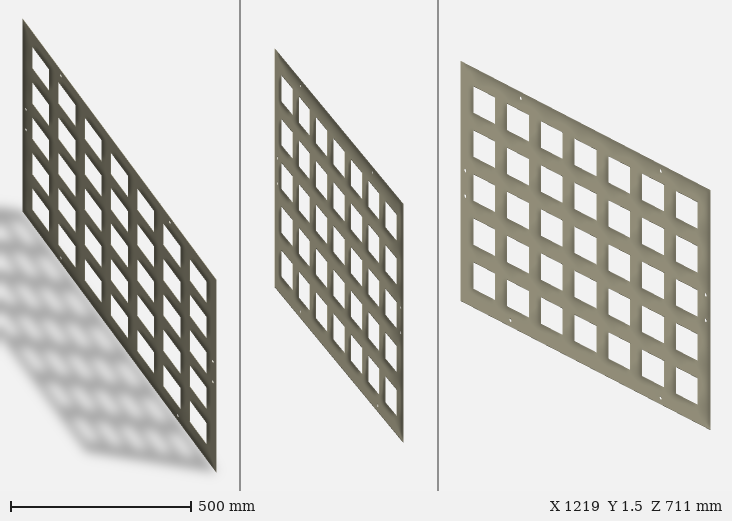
import cadquery as cq

PANEL_LENGTH = 1219.0
PANEL_HEIGHT = 711.0
PANEL_THICKNESS = 1.5

WINDOW_COLUMNS = 7
WINDOW_ROWS = 5
WINDOW_WIDTH = 109.0
WINDOW_HEIGHT = 79.0
SIDE_MARGIN = 60.0
END_MARGIN = 55.0
COLUMN_PITCH = (PANEL_LENGTH - 2 * SIDE_MARGIN - WINDOW_WIDTH) / (WINDOW_COLUMNS - 1)
ROW_PITCH = (PANEL_HEIGHT - 2 * END_MARGIN - WINDOW_HEIGHT) / (WINDOW_ROWS - 1)

HOLE_DIAMETER = 10.0
SIDE_HOLE_EDGE_DISTANCE = 22.0
TOP_BOTTOM_HOLE_EDGE_DISTANCE = 18.0
TOP_LEFT_HOLE_EDGE_DISTANCE = 20.0
SIDE_HOLE_SPACING = 75.0
BOTTOM_HOLE_OFFSET = 367.0
TOP_LEFT_HOLE_OFFSET = 368.0
TOP_RIGHT_HOLE_OFFSET = 317.0


def mounting_hole_centres():
    """Return the (x, z) centres of all the mounting holes."""
    side_x = PANEL_LENGTH / 2 - SIDE_HOLE_EDGE_DISTANCE
    border_z = PANEL_HEIGHT / 2 - TOP_BOTTOM_HOLE_EDGE_DISTANCE
    top_left_z = PANEL_HEIGHT / 2 - TOP_LEFT_HOLE_EDGE_DISTANCE
    side_z = SIDE_HOLE_SPACING / 2
    side_holes = [(x, z) for x in (-side_x, side_x) for z in (-side_z, side_z)]
    bottom_holes = [(-BOTTOM_HOLE_OFFSET, -border_z), (BOTTOM_HOLE_OFFSET, -border_z)]
    top_holes = [(-TOP_LEFT_HOLE_OFFSET, top_left_z), (TOP_RIGHT_HOLE_OFFSET, border_z)]
    return side_holes + bottom_holes + top_holes


panel = cq.Workplane("XZ").rect(PANEL_LENGTH, PANEL_HEIGHT).extrude(PANEL_THICKNESS / 2, both=True)

windows = (
    cq.Workplane("XZ")
    .rarray(COLUMN_PITCH, ROW_PITCH, WINDOW_COLUMNS, WINDOW_ROWS)
    .rect(WINDOW_WIDTH, WINDOW_HEIGHT)
    .extrude(PANEL_THICKNESS, both=True)
)

mounting_holes = (
    cq.Workplane("XZ")
    .pushPoints(mounting_hole_centres())
    .circle(HOLE_DIAMETER / 2)
    .extrude(PANEL_THICKNESS, both=True)
)

result = panel.cut(windows).cut(mounting_holes)